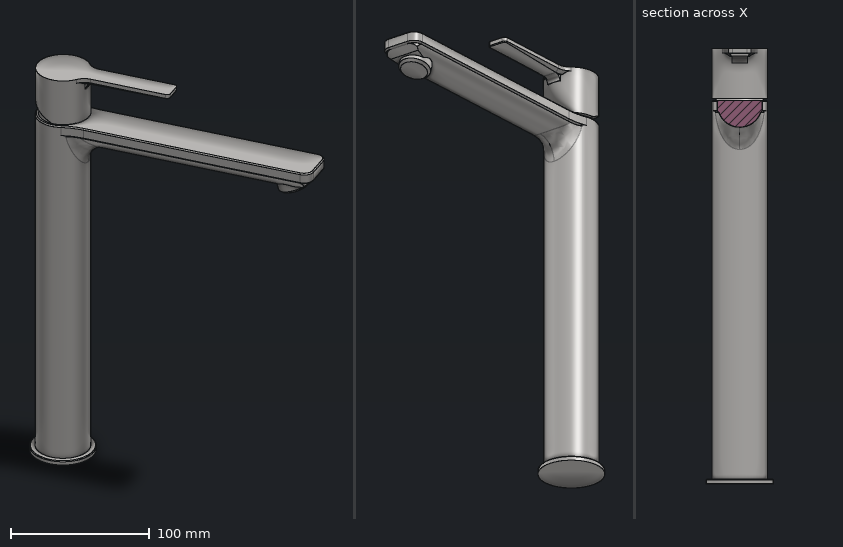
import cadquery as cq
import math

FLANGE_RADIUS = 24.0
FLANGE_HEIGHT = 3.5
FLANGE_CHAMFER = 0.5
COLUMN_RADIUS = 20.0
COLUMN_TOP = 276.0
EDGE_CHAMFER = 1.0

OVERALL_LENGTH = 224.0
SPOUT_TIP = OVERALL_LENGTH - FLANGE_RADIUS
SPOUT_HALF_WIDTH = 16.3
SPOUT_PLATE_THICKNESS = 8.8
SPOUT_LOWER_CHAMFER = 1.3
SPOUT_FLARE_END = 23.0
SPOUT_CORNER_RADIUS = 7.5
SPOUT_BOTTOM = 256.5
KEEL_FLAT_END = 167.5
KEEL_NOSE_X = 192.7
KEEL_NOSE_Z = 263.0
SPOUT_ROOT_FILLET = 16.0
ROOT_SEARCH_MARGIN = 0.3

NOZZLE_DIAMETER = 23.5
NOZZLE_X = 181.5
NOZZLE_BOTTOM = 254.5
NOZZLE_LENGTH = 11.0
NOZZLE_TILT = 18.0
NOZZLE_CHAMFER = 2.0

BALL_RADIUS = 20.0
BALL_CENTRE_Z = 266.5

HANDLE_RADIUS = 20.0
HANDLE_X = 0.3
HANDLE_TOP = 313.5
HANDLE_BOTTOM = 277.3
HANDLE_BACK_BOTTOM = 287.0
LEVER_TIP = 86.5
LEVER_HALF_WIDTH = 8.0
LEVER_CHAMFER = 2.5
LEVER_FLARE_END = 25.0
LEVER_CORNER_RADIUS = 2.8
LEVER_ROOT_BOTTOM = 307.7
LEVER_TIP_BOTTOM = 309.5
LEVER_ROOT_FILLET = 4.7


def cylinder(radius, x, bottom, top):
    return cq.Workplane("XY", origin=(x, 0, bottom)).circle(radius).extrude(top - bottom)


def arm_plan(x, radius, half_width, flare_end, tip, corner_radius, bottom, top):
    """Prism whose sides flare tangentially into a round column and whose tip corners are rounded."""
    reach = flare_end - x
    flare = (reach**2 + half_width**2 - radius**2) / (2 * (radius - half_width))
    centre_y = half_width + flare
    column_angle = math.atan2(centre_y, reach)
    touch_x = x + radius * math.cos(column_angle)
    touch_y = radius * math.sin(column_angle)
    middle_angle = (column_angle + math.pi / 2) / 2
    middle_x = flare_end - flare * math.cos(middle_angle)
    middle_y = centre_y - flare * math.sin(middle_angle)
    prism = (
        cq.Workplane("XY", origin=(0, 0, bottom))
        .moveTo(x, -touch_y)
        .lineTo(touch_x, -touch_y)
        .threePointArc((middle_x, -middle_y), (flare_end, -half_width))
        .lineTo(tip, -half_width)
        .lineTo(tip, half_width)
        .lineTo(flare_end, half_width)
        .threePointArc((middle_x, middle_y), (touch_x, touch_y))
        .lineTo(x, touch_y)
        .close()
        .extrude(top - bottom)
    )
    return prism.edges("|Z and >X").fillet(corner_radius)


def make_flange():
    flange = cylinder(FLANGE_RADIUS, 0, 0, FLANGE_HEIGHT)
    return flange.faces(">Z").edges().chamfer(FLANGE_CHAMFER)


def make_column_and_spout():
    plate_bottom = COLUMN_TOP - SPOUT_PLATE_THICKNESS
    keel_half_width = SPOUT_HALF_WIDTH - SPOUT_LOWER_CHAMFER
    keel = (
        cq.Workplane("YZ")
        .moveTo(-keel_half_width, plate_bottom)
        .threePointArc((0, SPOUT_BOTTOM), (keel_half_width, plate_bottom))
        .close()
        .extrude(SPOUT_TIP)
    )
    nose_top = SPOUT_TIP - SPOUT_LOWER_CHAMFER
    side_profile = cq.Workplane("XZ").polyline([
        (0, plate_bottom),
        (nose_top, plate_bottom),
        (KEEL_NOSE_X, KEEL_NOSE_Z),
        (KEEL_FLAT_END, SPOUT_BOTTOM),
        (0, SPOUT_BOTTOM),
    ]).close()
    keel = keel.intersect(side_profile.extrude(SPOUT_HALF_WIDTH, both=True))
    keel = keel.intersect(arm_plan(0, COLUMN_RADIUS, keel_half_width, SPOUT_FLARE_END, nose_top,
                                   SPOUT_CORNER_RADIUS, SPOUT_BOTTOM, plate_bottom))
    lower = cylinder(COLUMN_RADIUS, 0, 0, plate_bottom).union(keel)
    root = cq.selectors.BoxSelector(
        (0, -COLUMN_RADIUS, SPOUT_BOTTOM - ROOT_SEARCH_MARGIN),
        (COLUMN_RADIUS + ROOT_SEARCH_MARGIN, COLUMN_RADIUS, plate_bottom - ROOT_SEARCH_MARGIN),
    )
    lower = lower.edges(root).fillet(SPOUT_ROOT_FILLET)

    plate = arm_plan(0, COLUMN_RADIUS, SPOUT_HALF_WIDTH, SPOUT_FLARE_END, SPOUT_TIP,
                     SPOUT_CORNER_RADIUS, plate_bottom, COLUMN_TOP)
    plate = plate.faces("<Z").edges("not <X").chamfer(SPOUT_LOWER_CHAMFER)
    plate = plate.union(cylinder(COLUMN_RADIUS, 0, plate_bottom, COLUMN_TOP))
    plate = plate.faces(">Z").edges().chamfer(EDGE_CHAMFER)
    return lower.union(plate)


def make_nozzle():
    tilt = math.radians(NOZZLE_TILT)
    plane = cq.Plane(
        origin=(NOZZLE_X, 0, NOZZLE_BOTTOM),
        xDir=(math.cos(tilt), 0, math.sin(tilt)),
        normal=(-math.sin(tilt), 0, math.cos(tilt)),
    )
    nozzle = cq.Workplane(plane).circle(NOZZLE_DIAMETER / 2)
    nozzle = nozzle.extrude(NOZZLE_LENGTH)
    return nozzle.faces("<Z").edges().chamfer(NOZZLE_CHAMFER)


def make_ball():
    ball = cq.Workplane("XY", origin=(0, 0, BALL_CENTRE_Z)).sphere(BALL_RADIUS)
    return ball.intersect(cylinder(BALL_RADIUS, 0, BALL_CENTRE_Z, HANDLE_TOP))


def make_lever():
    lever = arm_plan(HANDLE_X, HANDLE_RADIUS, LEVER_HALF_WIDTH, LEVER_FLARE_END, LEVER_TIP,
                     LEVER_CORNER_RADIUS, LEVER_ROOT_BOTTOM, HANDLE_TOP)
    lever = lever.faces("<Z").edges("not <X").chamfer(LEVER_CHAMFER)
    taper = cq.Workplane("XZ").polyline([
        (LEVER_FLARE_END, LEVER_ROOT_BOTTOM),
        (LEVER_TIP, LEVER_ROOT_BOTTOM),
        (LEVER_TIP, LEVER_TIP_BOTTOM),
    ]).close()
    return lever.cut(taper.extrude(LEVER_HALF_WIDTH, both=True))


def make_lever_root():
    """Concave fillet between the barrel of the handle and the underside of the lever."""
    root_x = HANDLE_X + HANDLE_RADIUS
    root_z = LEVER_ROOT_BOTTOM - LEVER_ROOT_FILLET
    return (
        cq.Workplane("XZ")
        .moveTo(HANDLE_X, LEVER_ROOT_BOTTOM)
        .lineTo(root_x + LEVER_ROOT_FILLET, LEVER_ROOT_BOTTOM)
        .radiusArc((root_x, root_z), -LEVER_ROOT_FILLET)
        .lineTo(HANDLE_X, root_z)
        .close()
        .extrude(LEVER_HALF_WIDTH - LEVER_CHAMFER, both=True)
    )


def make_handle():
    barrel = cylinder(HANDLE_RADIUS, HANDLE_X, HANDLE_BOTTOM, LEVER_ROOT_BOTTOM)
    back = HANDLE_X - HANDLE_RADIUS
    relief = cq.Workplane("XZ").polyline([
        (back, HANDLE_BOTTOM),
        (HANDLE_X, HANDLE_BOTTOM),
        (back, HANDLE_BACK_BOTTOM),
    ]).close()
    barrel = barrel.cut(relief.extrude(HANDLE_RADIUS, both=True))
    cap = cylinder(HANDLE_RADIUS, HANDLE_X, LEVER_ROOT_BOTTOM, HANDLE_TOP).union(make_lever())
    return cap.union(barrel).union(make_lever_root())


result = (
    make_flange()
    .union(make_column_and_spout())
    .union(make_nozzle())
    .union(make_ball())
    .union(make_handle())
)